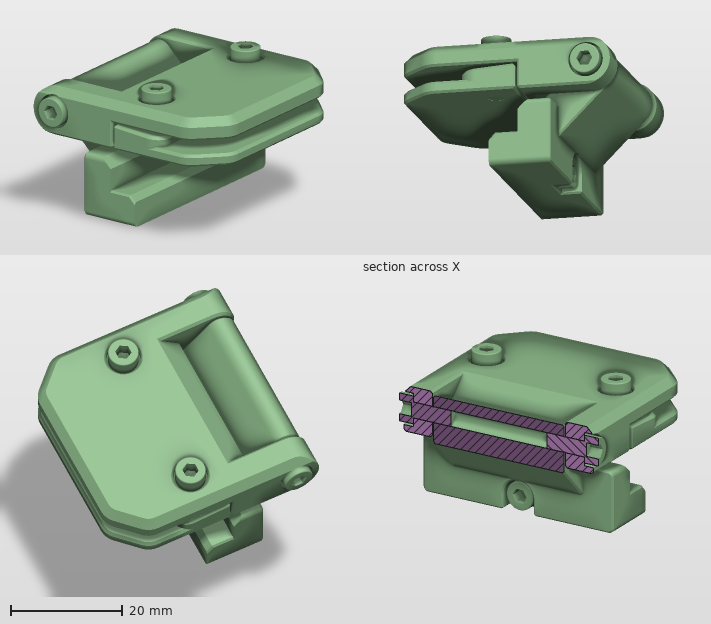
import cadquery as cq
import math


KNUCKLE_RADIUS = 4.5
BARREL_RADIUS = 4.0
WALL_Y = 13.95
BARREL_HALF_WIDTH = 13.78
HALF_WIDTH = 20.0

PLATE_END_X = 35.45
PLATE_UNDERSIDE_Z = 0.5
BLOCK_END_X = 12.85
TOP_CHAMFER = 1.45
BOTTOM_CHAMFER = 0.4
CORNER_LEG = 6.0
CORNER_RADIUS = 4.0
WINDOW_END_X = 11.0
LIP_X = 6.8
KNUCKLE_EDGE_CHAMFER = 0.45

PAD_START_X = 13.2
PAD_STEP_X = 23.55
PAD_STEP_RADIUS = 3.0
PAD_RIDGE_Z = 0.25
PAD_SLOPE = 4.2
PAD_TONGUE_Z = -2.25
PAD_EDGE_CHAMFER = 0.5
PAD_STEP_CHAMFER = 0.5
PAD_START_CHAMFER = 0.35

ARM_FACE_OFFSET = 3.0
ARM_BLEND_RADIUS = 2.5
ARM_CHAMFER = 0.35
FOOT_START_X = 6.6
FOOT_BACK_X = 12.6
FOOT_END_X = 17.98
FOOT_TOP_Z = -6.5
FOOT_LEDGE_Z = -12.5
FOOT_BOTTOM_Z = -18.5
FOOT_CORNER_RADIUS = 1.0
FOOT_CHAMFER = 0.35
LEDGE_CHAMFER = 1.15

HEAD_DIAMETER = 5.5
HEAD_HEIGHT = 3.0
HEAD_ROUNDING = 0.2
SHANK_DIAMETER = 3.0
SHANK_LENGTH = 8
SOCKET_FLATS = 2.55
SOCKET_DEPTH = 2.5
HINGE_HEAD_Y = 21
PLATE_SCREW_X = 18.15
PLATE_SCREW_Y = 13.6
PLATE_HEAD_Z = 6.5
FOOT_SCREW_Z = -15.5
FOOT_HEAD_X = 7.22
PLATE_BORE = 6.2
PLATE_BORE_CHAMFER = 0.38
HINGE_BORE = 6.4
FOOT_BORE = 6.4

SQRT2 = math.sqrt(2)
OVERCUT = 8.4


def jaw_outline(start_x, bottom_z, height):
    """Prism with a straight start and two cut-off, rounded corners at the far end."""
    side_end_x = PLATE_END_X - CORNER_LEG
    corner_y = HALF_WIDTH - CORNER_LEG
    prism = (
        cq.Workplane("XY", origin=(0, 0, bottom_z))
        .polyline([
            (start_x, -HALF_WIDTH),
            (side_end_x, -HALF_WIDTH),
            (PLATE_END_X, -corner_y),
            (PLATE_END_X, corner_y),
            (side_end_x, HALF_WIDTH),
            (start_x, HALF_WIDTH),
        ])
        .close()
        .extrude(height)
    )
    far_edges = cq.selectors.BoxSelector(
        (side_end_x - 0.4, -OVERCUT - HALF_WIDTH, -OVERCUT),
        (PLATE_END_X + 0.4, OVERCUT + HALF_WIDTH, OVERCUT),
    )
    return prism.edges("|Z").edges(far_edges).fillet(CORNER_RADIUS)


def y_prism(points, half_width):
    """Closed XZ outline swept evenly to both sides of the middle plane."""
    return cq.Workplane("XZ").polyline(points).close().extrude(half_width, both=True)


def cylinder(origin, axis, diameter, length):
    plane = cq.Plane(origin=origin, normal=axis)
    return cq.Workplane(plane).circle(diameter / 2).extrude(length)


def make_screw(head_center, inward, shank_length):
    """Socket-head screw; head_center is the middle of the outer head face."""
    x_dir = (0, 1, 0) if inward[1] == 0 else (1, 0, 0)
    plane = cq.Plane(origin=head_center, xDir=x_dir, normal=inward)
    head = (
        cq.Workplane(plane)
        .circle(HEAD_DIAMETER / 2)
        .extrude(HEAD_HEIGHT)
        .faces(cq.selectors.NearestToPointSelector(head_center))
        .edges()
        .fillet(HEAD_ROUNDING)
    )
    socket = (
        cq.Workplane(plane)
        .transformed(rotate=(0, 0, 30))
        .polygon(6, SOCKET_FLATS, circumscribed=True)
        .extrude(SOCKET_DEPTH)
    )
    shank = (
        cq.Workplane(plane)
        .workplane(offset=HEAD_HEIGHT)
        .circle(SHANK_DIAMETER / 2)
        .extrude(shank_length)
    )
    return head.union(shank).cut(socket)


hinge_screws = [
    make_screw((0, side * HINGE_HEAD_Y, 0), (0, -side, 0), SHANK_LENGTH)
    for side in (-1, 1)
]
plate_screws = [
    make_screw((PLATE_SCREW_X, side * PLATE_SCREW_Y, PLATE_HEAD_Z), (0, 0, -1), SHANK_LENGTH)
    for side in (-1, 1)
]
foot_shank_length = FOOT_END_X - FOOT_HEAD_X - HEAD_HEIGHT
foot_screw = make_screw((FOOT_HEAD_X, 0, FOOT_SCREW_Z), (1, 0, 0), foot_shank_length)


def make_plate_blank():
    """Thin jaw and thick block, trimmed to the round knuckle at the hinge end."""
    start_x = -KNUCKLE_RADIUS - OVERCUT
    jaw = (
        jaw_outline(start_x, PLATE_UNDERSIDE_Z, KNUCKLE_RADIUS - PLATE_UNDERSIDE_Z)
        .faces(">Z").chamfer(TOP_CHAMFER)
        .faces("<Z").chamfer(BOTTOM_CHAMFER)
    )
    block_top_z = KNUCKLE_RADIUS - TOP_CHAMFER
    block = (
        cq.Workplane("XY", origin=(start_x, 0, -KNUCKLE_RADIUS))
        .box(BLOCK_END_X - start_x, 2 * HALF_WIDTH, block_top_z + KNUCKLE_RADIUS, centered=(False, True, False))
        .edges(">X and |Z").chamfer(BOTTOM_CHAMFER)
        .faces("<Z").chamfer(BOTTOM_CHAMFER)
    )
    hinge_end = (
        cq.Workplane("XZ")
        .moveTo(0, -KNUCKLE_RADIUS)
        .threePointArc((-KNUCKLE_RADIUS, 0), (0, KNUCKLE_RADIUS))
        .lineTo(PLATE_END_X, KNUCKLE_RADIUS)
        .lineTo(PLATE_END_X, -KNUCKLE_RADIUS)
        .close()
        .extrude(HALF_WIDTH, both=True)
    )
    return jaw.union(block).intersect(hinge_end)


def cut_window(plate):
    """Slot for the barrel; its far end is a lip between two 45 degree slopes."""
    lip_z = KNUCKLE_RADIUS - (WINDOW_END_X - LIP_X)
    window = y_prism([
        (-OVERCUT, -KNUCKLE_RADIUS),
        (WINDOW_END_X, -KNUCKLE_RADIUS),
        (LIP_X, -lip_z),
        (LIP_X, lip_z),
        (WINDOW_END_X, KNUCKLE_RADIUS),
        (-OVERCUT, KNUCKLE_RADIUS),
    ], WALL_Y + KNUCKLE_EDGE_CHAMFER)
    inset = KNUCKLE_RADIUS - KNUCKLE_EDGE_CHAMFER
    for side in (-1, 1):
        cheek = (
            cq.Workplane("XZ", origin=(0, side * WALL_Y, 0))
            .moveTo(WINDOW_END_X, -inset)
            .lineTo(0, -inset)
            .threePointArc((-inset, 0), (0, inset))
            .lineTo(WINDOW_END_X, inset)
            .close()
            .extrude(-side * KNUCKLE_EDGE_CHAMFER, taper=-45)
        )
        window = window.cut(cheek)
    return plate.cut(window)


def make_plate():
    plate = cut_window(make_plate_blank())
    bore_floor_z = PLATE_HEAD_Z - HEAD_HEIGHT
    for side in (-1, 1):
        y = side * PLATE_SCREW_Y
        bore = cylinder((PLATE_SCREW_X, y, bore_floor_z), (0, 0, 1), PLATE_BORE, OVERCUT)
        rim = cq.Workplane(cq.Solid.makeCone(
            PLATE_BORE / 2, PLATE_BORE / 2 + PLATE_BORE_CHAMFER, PLATE_BORE_CHAMFER,
            pnt=cq.Vector(PLATE_SCREW_X, y, KNUCKLE_RADIUS - PLATE_BORE_CHAMFER),
        ))
        hole = cylinder((PLATE_SCREW_X, y, 0), (0, 0, 1), SHANK_DIAMETER, OVERCUT)
        knuckle_bore = cylinder((0, side * (HINGE_HEAD_Y - HEAD_HEIGHT), 0), (0, side, 0), HINGE_BORE, OVERCUT)
        knuckle_hole = cylinder((0, side * (WALL_Y - 0.4), 0), (0, side, 0), SHANK_DIAMETER, OVERCUT)
        plate = plate.cut(bore).cut(rim).cut(hole).cut(knuckle_bore).cut(knuckle_hole)
    return plate


def make_pad():
    """Thin tongue with a sloped, round-cornered step next to the plate's block."""
    tongue = (
        jaw_outline(PAD_START_X, -KNUCKLE_RADIUS, PAD_TONGUE_Z + KNUCKLE_RADIUS)
        .edges("<X and |Z").chamfer(PAD_START_CHAMFER)
        .faces(">Z").chamfer(PAD_EDGE_CHAMFER)
        .faces("<Z").chamfer(BOTTOM_CHAMFER)
    )
    step_end_z = PAD_RIDGE_Z - (PAD_STEP_X - PAD_START_X) * math.tan(math.radians(PAD_SLOPE))
    base_z = -KNUCKLE_RADIUS + BOTTOM_CHAMFER
    step = (
        y_prism([
            (PAD_START_X, base_z),
            (PAD_STEP_X, base_z),
            (PAD_STEP_X, step_end_z),
            (PAD_START_X, PAD_RIDGE_Z),
        ], HALF_WIDTH)
        .edges(">X and |Z").fillet(PAD_STEP_RADIUS)
        .faces(cq.selectors.NearestToPointSelector((PLATE_SCREW_X, 0, 0)))
        .chamfer(PAD_STEP_CHAMFER)
        .edges("<X and |Z").chamfer(PAD_START_CHAMFER)
    )
    pad = tongue.union(step)
    for side in (-1, 1):
        hole = cylinder(
            (PLATE_SCREW_X, side * PLATE_SCREW_Y, -KNUCKLE_RADIUS), (0, 0, 1), SHANK_DIAMETER, OVERCUT
        )
        pad = pad.cut(hole)
    return pad


def make_barrel():
    """Hinge barrel with a 45 degree arm; the barrel blends into the arm's inner face."""
    along_normal = ARM_FACE_OFFSET - ARM_BLEND_RADIUS
    across = math.sqrt((BARREL_RADIUS - ARM_BLEND_RADIUS) ** 2 - along_normal ** 2)
    blend_x = (along_normal - across) / SQRT2
    blend_z = (along_normal + across) / SQRT2
    touch_angle = math.atan2(blend_z, blend_x)
    touch = (BARREL_RADIUS * math.cos(touch_angle), BARREL_RADIUS * math.sin(touch_angle))
    blend_end = (blend_x + ARM_BLEND_RADIUS / SQRT2, blend_z + ARM_BLEND_RADIUS / SQRT2)
    inner_sum = ARM_FACE_OFFSET * SQRT2
    outer_sum = -BARREL_RADIUS * SQRT2
    tip_x = FOOT_START_X + FOOT_CHAMFER
    return (
        cq.Workplane("XZ")
        .moveTo(-BARREL_RADIUS / SQRT2, -BARREL_RADIUS / SQRT2)
        .threePointArc((-BARREL_RADIUS, 0), touch)
        .threePointArc((blend_x, blend_z + ARM_BLEND_RADIUS), blend_end)
        .lineTo(FOOT_BACK_X, inner_sum - FOOT_BACK_X)
        .lineTo(FOOT_BACK_X, outer_sum - tip_x)
        .lineTo(tip_x, outer_sum - tip_x)
        .close()
        .extrude(BARREL_HALF_WIDTH, both=True)
        .faces("|Y").chamfer(ARM_CHAMFER)
    )


def make_foot_recess():
    """Round-topped recess for the screw head, open at the foot's face and underside."""
    depth = FOOT_HEAD_X + HEAD_HEIGHT - FOOT_START_X
    radius = FOOT_BORE / 2
    return (
        cq.Workplane("YZ", origin=(FOOT_START_X, 0, FOOT_SCREW_Z))
        .moveTo(radius, 0)
        .threePointArc((0, radius), (-radius, 0))
        .lineTo(-radius, -OVERCUT)
        .lineTo(radius, -OVERCUT)
        .close()
        .extrude(depth)
    )


def make_foot():
    """L-shaped foot, beveled around its face, the screw recess and the ledge ends."""
    inner_sum = ARM_FACE_OFFSET * SQRT2
    block = (
        cq.Workplane("YZ", origin=(FOOT_START_X, 0, (FOOT_TOP_Z + FOOT_BOTTOM_Z) / 2))
        .rect(2 * HALF_WIDTH, FOOT_TOP_Z - FOOT_BOTTOM_Z)
        .extrude(FOOT_END_X - FOOT_START_X)
        .edges("|X").fillet(FOOT_CORNER_RADIUS)
        .cut(make_foot_recess())
    )
    recess_mouth = cq.selectors.BoxSelector(
        (FOOT_START_X + 0.4, -FOOT_BORE, FOOT_BOTTOM_Z - 0.4),
        (FOOT_BACK_X, FOOT_BORE, FOOT_BOTTOM_Z + 0.4),
    )
    mouth_edges = block.edges(recess_mouth)
    block = block.faces("<X").edges().add(mouth_edges).chamfer(FOOT_CHAMFER)
    profile = y_prism([
        (FOOT_START_X, FOOT_TOP_Z),
        (inner_sum - FOOT_TOP_Z, FOOT_TOP_Z),
        (FOOT_BACK_X, inner_sum - FOOT_BACK_X),
        (FOOT_BACK_X, FOOT_LEDGE_Z),
        (FOOT_END_X - LEDGE_CHAMFER, FOOT_LEDGE_Z),
        (FOOT_END_X, FOOT_LEDGE_Z - LEDGE_CHAMFER),
        (FOOT_END_X, FOOT_BOTTOM_Z),
        (FOOT_START_X, FOOT_BOTTOM_Z),
    ], HALF_WIDTH)
    foot = block.intersect(profile)
    for y in (-HALF_WIDTH, HALF_WIDTH):
        ledge_end = cq.selectors.BoxSelector(
            (FOOT_BACK_X + 0.4, y - 0.4, FOOT_LEDGE_Z - LEDGE_CHAMFER),
            (FOOT_END_X - 0.4, y + 0.4, FOOT_LEDGE_Z + 0.4),
        )
        foot = foot.edges(ledge_end).chamfer(FOOT_CHAMFER)
    return foot


def make_arm():
    """Barrel and foot as one body, with the holes for the hinge screws and the foot screw."""
    rim_radius = FOOT_BORE / 2 + FOOT_CHAMFER
    face_center = (FOOT_START_X, 0, FOOT_SCREW_Z)
    rim = cq.Workplane(cq.Solid.makeCone(
        rim_radius, FOOT_BORE / 2, FOOT_CHAMFER, pnt=cq.Vector(face_center), dir=cq.Vector(1, 0, 0)
    ))
    clearance = cylinder(face_center, (-1, 0, 0), 2 * rim_radius, OVERCUT)
    barrel = make_barrel().cut(make_foot_recess()).cut(rim).cut(clearance)
    shank_hole = cylinder(face_center, (1, 0, 0), SHANK_DIAMETER, 2 * OVERCUT)
    hinge_hole = cylinder((0, -HALF_WIDTH, 0), (0, 1, 0), SHANK_DIAMETER, 2 * HALF_WIDTH)
    return barrel.union(make_foot()).cut(shank_hole).cut(hinge_hole)


plate = make_plate()
pad = make_pad()
arm = make_arm()
screws = [*hinge_screws, *plate_screws, foot_screw]

result = cq.Compound.makeCompound([
    plate.val(),
    pad.val(),
    arm.val(),
    *[screw.val() for screw in screws],
])